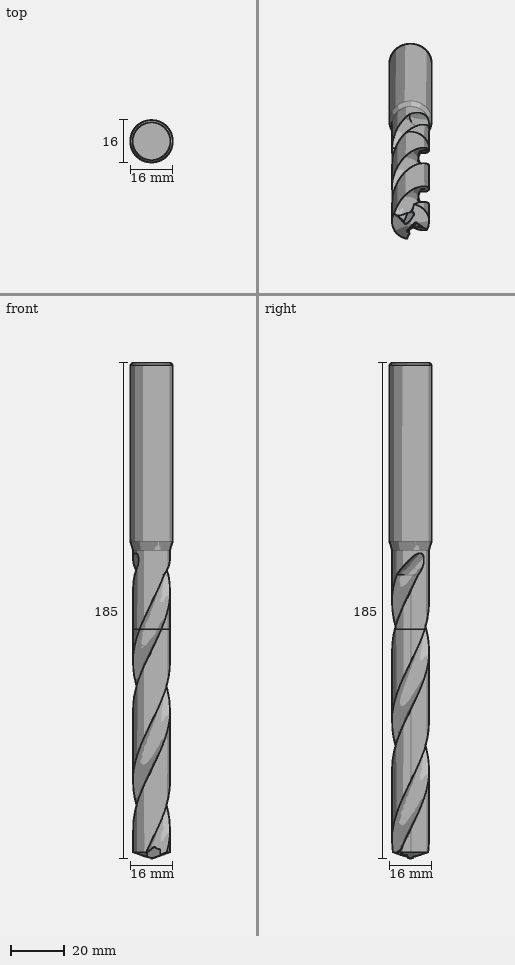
import cadquery as cq
import math

length = 185.0
shank_diameter = 16.0
drill_diameter = 13.9
shank_radius = shank_diameter / 2
drill_radius = drill_diameter / 2

joint_height = 85.7
neck_height = 115.0
shank_height = 118.4
top_chamfer_height = 1.0
top_chamfer_width = 1.0
point_angle = 140.0
point_height = drill_radius / math.tan(math.radians(point_angle / 2))

flute_count = 2
flute_radius = 4.5
flute_center_radius = 7.4
flute_pitch = 88.8
flute_start_angle = -261.0
flute_end_height = 106.0
runout_end_height = 114.3
runout_radial_shift = 1.1
runout_tangent_shift = 8.0

gash_height = 5.5
gash_web = 0.7
gash_top_offset = 3.1
gash_left = -1.7
gash_left_height = 2.4
gash_peak = 2.4
gash_right = 3.3
gash_right_height = 3.0


def make_shank():
    """Plain shank with a chamfered top, a tapered shoulder and a fluted neck."""
    profile = [
        (0, joint_height),
        (drill_radius, joint_height),
        (drill_radius, neck_height),
        (shank_radius, shank_height),
        (shank_radius, length - top_chamfer_height),
        (shank_radius - top_chamfer_width, length),
        (0, length),
    ]
    return cq.Workplane("XZ").polyline(profile).close().revolve(360, (0, 0), (0, 1))


def make_cutting_head():
    """Cylinder with a conical drill point, below the joint."""
    profile = [
        (0, 0),
        (drill_radius, point_height),
        (drill_radius, joint_height),
        (0, joint_height),
    ]
    return cq.Workplane("XZ").polyline(profile).close().revolve(360, (0, 0), (0, 1))


def make_flute():
    """Cutter for one flute: a twisted round section that ends in a straight runout."""
    twist = 360 * flute_end_height / flute_pitch
    helix = (
        cq.Workplane("XY")
        .pushPoints([(flute_center_radius, 0)])
        .circle(flute_radius)
        .twistExtrude(flute_end_height, twist)
    )
    runout_rise = runout_end_height - flute_end_height
    runout = (
        cq.Workplane("XY", origin=(0, 0, flute_end_height))
        .center(flute_center_radius, 0)
        .circle(flute_radius)
        .workplane(offset=runout_rise)
        .center(runout_radial_shift, runout_tangent_shift)
        .circle(flute_radius)
        .loft(ruled=True)
        .rotate((0, 0, 0), (0, 0, 1), twist)
    )
    return [tool.rotate((0, 0, 0), (0, 0, 1), flute_start_angle) for tool in (helix, runout)]


def make_gash():
    """Cutter with a peaked outline and a floor that slopes outward from the web."""
    side = [
        (-drill_radius, 0),
        (-drill_radius, gash_height),
        (-gash_top_offset, gash_height),
        (-gash_web, 0),
    ]
    outline = [
        (gash_left, 0),
        (gash_left, gash_left_height),
        (gash_peak, gash_height),
        (gash_right, gash_right_height),
        (gash_right, 0),
    ]
    wedge = cq.Workplane("YZ").polyline(side).close().extrude(drill_radius, both=True)
    peaked_bar = cq.Workplane("XZ").polyline(outline).close().extrude(drill_radius)
    return wedge.intersect(peaked_bar)


shank = make_shank()
cutting_head = make_cutting_head()
flute_tools = make_flute()
gash = make_gash()
for index in range(flute_count):
    angle = 360 / flute_count * index
    for tool in flute_tools:
        flute = tool.rotate((0, 0, 0), (0, 0, 1), angle)
        shank = shank.cut(flute)
        cutting_head = cutting_head.cut(flute)
    cutting_head = cutting_head.cut(gash.rotate((0, 0, 0), (0, 0, 1), angle))

result = cq.Compound.makeCompound([shank.val(), cutting_head.val()])